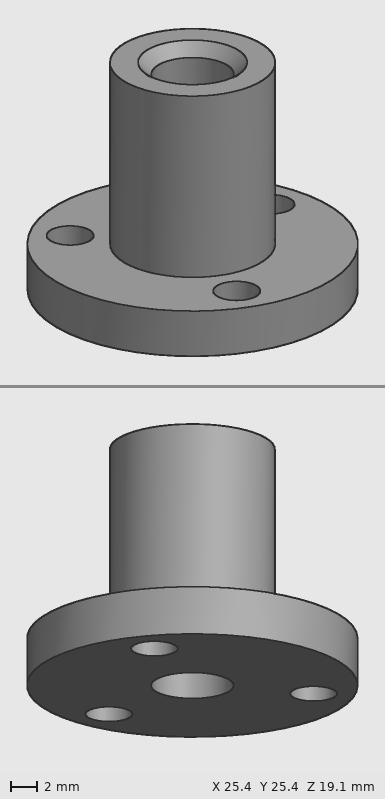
import cadquery as cq

flange_diameter = 25.4
flange_thickness = 3.8
total_height = 19.05
barrel_diameter = flange_diameter / 2

bore_diameter = barrel_diameter / 2
lead_in_diameter = 8.38
lead_in_depth = (lead_in_diameter - bore_diameter) / 2

mounting_hole_count = 3
mounting_hole_diameter = 3.6
bolt_circle_diameter = (flange_diameter + barrel_diameter) / 2
first_hole_angle = 90.0


def make_body():
    """Flange with its bottom on Z = 0 and a coaxial barrel above it."""
    flange = cq.Workplane("XY").circle(flange_diameter / 2).extrude(flange_thickness)
    barrel = cq.Workplane("XY").circle(barrel_diameter / 2).extrude(total_height)
    return flange.union(barrel)


def make_bore():
    """Through bore joined to its lead-in cone, as a cutting solid."""
    bore_radius = bore_diameter / 2
    return (
        cq.Workplane("XZ")
        .moveTo(0, 0)
        .lineTo(bore_radius, 0)
        .lineTo(bore_radius, total_height - lead_in_depth)
        .lineTo(lead_in_diameter / 2, total_height)
        .lineTo(0, total_height)
        .close()
        .revolve(360, (0, 0, 0), (0, 1, 0))
    )


def make_mounting_holes():
    """Equally spaced cutting cylinders through the flange."""
    return (
        cq.Workplane("XY")
        .polarArray(bolt_circle_diameter / 2, first_hole_angle, 360, mounting_hole_count)
        .circle(mounting_hole_diameter / 2)
        .extrude(flange_thickness)
    )


result = make_body().cut(make_bore()).cut(make_mounting_holes())